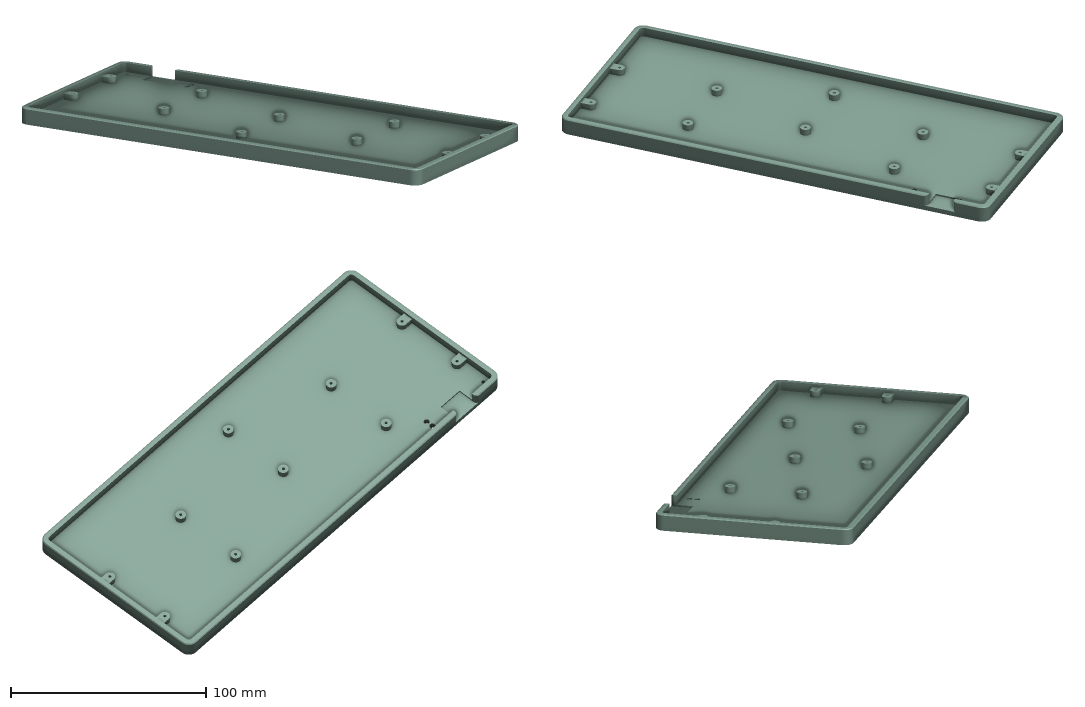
import cadquery as cq

length = 237.6
width = 104.3
height = 8.5
wall = 3.0
floor_thickness = 3.5
outer_corner_radius = 5.0
rim_chamfer = 0.5
inner_corner_radius = outer_corner_radius - wall

key_pitch = 19.0
post_diameter = 5.5
post_height = 3.3
screw_hole_diameter = 1.6
screw_hole_depth = post_height
post_x = 57.3
upper_row_y = 28.3
row_spacing = 2 * key_pitch
edge_post_x = 111.2
rib_fillet = 0.5
edge_post_rows = (upper_row_y, upper_row_y - row_spacing)
centre_post_rows = tuple(y - key_pitch for y in edge_post_rows)

opening_width = 14.3
opening_x = -92.7
pocket_front_y = 40.5
pocket_depth = 1.0
opening_round = 2.0

light_hole_diameter = 3.0
light_hole_x = -73.7
light_hole_rows = (45.5, 41.3)
reset_hole_diameter = 2.0
reset_hole_x = -112.2
reset_hole_y = 45.6

inner_length = length - 2 * wall
inner_width = width - 2 * wall
post_top = floor_thickness + post_height


def rounded_block(x_size, y_size, z_size, radius):
    block = cq.Workplane("XY").box(x_size, y_size, z_size, centered=(True, True, False))
    return block.edges("|Z").fillet(radius)


def tray():
    outside = rounded_block(length, width, height, outer_corner_radius)
    outside = outside.faces(">Z").edges().chamfer(rim_chamfer)
    inside = rounded_block(inner_length, inner_width, height, inner_corner_radius)
    return outside.cut(inside.translate((0, 0, floor_thickness)))


def cylinders(points, diameter, bottom, top):
    base = cq.Workplane("XY", origin=(0, 0, bottom))
    return base.pushPoints(points).circle(diameter / 2).extrude(top - bottom)


def edge_post_rib(side, y):
    """Block joining an edge post to the end wall; side is -1 or 1."""
    rib_length = length / 2 - wall / 2 - edge_post_x
    rib = cq.Workplane("XY").box(rib_length, post_diameter, post_height, centered=(True, True, False))
    return rib.translate((side * (edge_post_x + rib_length / 2), y, floor_thickness))


def connector_opening():
    """Opening through the back wall, sunk into the floor and rounded out towards the outer face."""
    back_y = width / 2
    half_width = opening_width / 2
    flare_half_width = half_width + opening_round
    bottom = floor_thickness - pocket_depth
    pocket = (
        cq.Workplane("XY", origin=(opening_x, 0, bottom))
        .moveTo(-half_width, pocket_front_y)
        .lineTo(half_width, pocket_front_y)
        .lineTo(half_width, back_y - opening_round)
        .radiusArc((flare_half_width, back_y), opening_round)
        .lineTo(-flare_half_width, back_y)
        .radiusArc((-half_width, back_y - opening_round), opening_round)
        .close()
        .extrude(height - bottom)
    )
    return pocket


edge_posts = [(side * edge_post_x, y) for side in (-1, 1) for y in edge_post_rows]
inner_posts = [(side * post_x, y) for side in (-1, 1) for y in edge_post_rows]
centre_posts = [(0, y) for y in centre_post_rows]
all_posts = edge_posts + inner_posts + centre_posts

result = tray().union(cylinders(all_posts, post_diameter, floor_thickness, post_top))
for side in (-1, 1):
    for y in edge_post_rows:
        result = result.union(edge_post_rib(side, y))
        for rib_side_y in (y - post_diameter / 2, y + post_diameter / 2):
            corner = (side * inner_length / 2, rib_side_y, floor_thickness + post_height / 2)
            result = result.edges(cq.NearestToPointSelector(corner)).fillet(rib_fillet)

result = result.cut(cylinders(all_posts, screw_hole_diameter, post_top - screw_hole_depth, post_top))
result = result.cut(connector_opening())

light_holes = [(light_hole_x, y) for y in light_hole_rows]
result = result.cut(cylinders(light_holes, light_hole_diameter, 0, floor_thickness))
result = result.cut(cylinders([(reset_hole_x, reset_hole_y)], reset_hole_diameter, 0, floor_thickness))